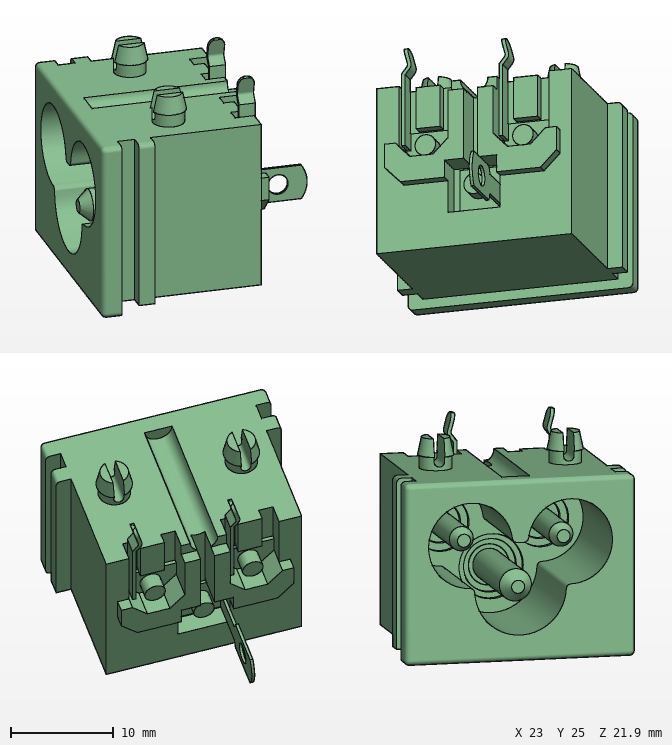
import cadquery as cq
import math


flange_width = 23.0
flange_thickness = 2.0
housing_top = 17.95
edge_radius = 0.5
body_width = 19.95
body_bottom = 1.0
body_rear = 16.6
rib_front = 3.72
rib_rear = 5.35

pin_spacing = 9.98
line_pin_z = 11.65
earth_pin_z = 7.19
line_pin_xs = (-pin_spacing / 2, pin_spacing / 2)

cavity_depth = 11.98
line_lobe_radius = 4.22
earth_lobe_radius = 4.6
lobe_blend_radius = 0.5
step_depth = 0.5
line_step_radius = 2.77
earth_outer_step_radius = 3.22
earth_inner_step_radius = 2.65

line_pin_radius = 1.2
line_pin_tip_y = 2.75
earth_pin_radius = 1.6
earth_pin_tip_y = 1.0
pin_tip_radius = 0.65
pin_taper_length = 1.1
collar_radius = 2.02
collar_clearance = 0.02
collar_front = cavity_depth + 2 * step_depth
collar_length = 0.75
collar_rear = collar_front + collar_length
tail_radius = 1.05

groove_radius = 1.4

post_spacing = 12.97
post_y = 8.2
post_height = 3.1
post_shank_radius = 1.6
post_shank_height = 1.32
post_barb_radius = 1.77
post_end_radius = 1.4
post_slot_width = 1.05
post_slot_floor = 0.35

rear_wall_rear = 17.75
rear_wall_half_width = 8.8
rear_wall_bottom = 7.73
rear_wall_chamfer = 1.65
rear_wall_outer_top = 11.75
rear_wall_inner_top = 16.62
recess_front = 14.65
recess_half_width = 2.67
recess_flat_half_width = 1.15
recess_floor = rear_wall_outer_top - (recess_half_width - recess_flat_half_width)
cover_half_width = 1.22
cover_rear = 15.72
cover_bottom = 13.72
earth_slot_width = 1.42
earth_recess_bottom = 4.5
earth_recess_top = 9.48

terminal_thickness = 0.37
terminal_outer_offset = 2.37
terminal_plate_top = 13.47
blade_front = 15.15
blade_width = 1.65
blade_bottom = 11.98
blade_top = 21.88
blade_bend_x = 1.52
blade_end_x = 2.05
blade_lower_bend_z = housing_top + 1.12
blade_upper_bend_z = housing_top + 1.95
bend_inner_radius = 0.37

lug_thickness = 0.3
lug_outer_x = -2.52
lug_plate_right = 2.0
lug_plate_top = 9.23
lug_z = 6.0
neck_height = 2.0
lug_head_front = 19.3
lug_head_height = 3.55
lug_shoulder_length = 0.37
lug_flat_rear = 24.35
lug_tip_y = 24.95
lug_hole_y = 21.98
lug_hole_radius = 1.02


def block(x_min, x_max, y_min, y_max, z_min, z_max):
    """Box given by its limits along the three axes."""
    box = cq.Workplane("XY").box(x_max - x_min, y_max - y_min, z_max - z_min, centered=False)
    return box.translate((x_min, y_min, z_min))


def rod(x, z, radius, y_min, y_max):
    """Cylinder along Y."""
    disc = cq.Workplane("XZ", origin=(x, y_min, z)).circle(radius)
    return disc.extrude(y_min - y_max)


def prism(outline, y_min, y_max):
    """Polygon of (x, z) points extruded along Y."""
    face = cq.Workplane("XZ", origin=(0, y_min, 0)).polyline(outline).close()
    return face.extrude(y_min - y_max)


def housing_block():
    half_flange = flange_width / 2
    half_body = body_width / 2
    flange = block(-half_flange, half_flange, 0, flange_thickness, 0, housing_top)
    flange = flange.edges("|Y").fillet(edge_radius)
    flange = flange.faces("<Y").edges().fillet(edge_radius)
    rib = block(-half_flange, half_flange, rib_front, rib_rear, body_bottom, housing_top)
    rib = rib.edges("|Y and >Z").fillet(edge_radius)
    body = block(-half_body, half_body, edge_radius, body_rear, body_bottom, housing_top)
    return flange.union(rib).union(body)


def rear_wall(side):
    """Raised wall behind one line pin, higher toward the middle of the housing."""
    inner = earth_slot_width / 2
    step = pin_spacing / 2
    outline = [
        (inner, rear_wall_bottom),
        (rear_wall_half_width - rear_wall_chamfer, rear_wall_bottom),
        (rear_wall_half_width, rear_wall_bottom + rear_wall_chamfer),
        (rear_wall_half_width, rear_wall_outer_top),
        (step, rear_wall_outer_top),
        (step, rear_wall_inner_top),
        (inner, rear_wall_inner_top),
    ]
    return prism([(side * x, z) for x, z in outline], body_rear, rear_wall_rear)


def snap_post(x):
    """Barbed post on the top face, split by a slot with a round floor."""
    profile = [
        (0, 0),
        (post_shank_radius, 0),
        (post_shank_radius, post_shank_height),
        (post_barb_radius, post_shank_height),
        (post_end_radius, post_height),
        (0, post_height),
    ]
    post = cq.Workplane("XZ").polyline(profile).close().revolve(360, (0, 0, 0), (0, 1, 0))
    half_slot = post_slot_width / 2
    round_z = post_slot_floor + half_slot
    slot = block(-half_slot, half_slot, -post_barb_radius, post_barb_radius, round_z, post_height)
    slot = slot.union(rod(0, round_z, half_slot, -post_barb_radius, post_barb_radius))
    return post.cut(slot).translate((x, post_y, housing_top))


def plug_cavity():
    """Three overlapping round lobes with blended junctions and stepped pin seats."""
    cavity = rod(0, earth_pin_z, earth_lobe_radius, 0, cavity_depth)
    for x in line_pin_xs:
        cavity = cavity.union(rod(x, line_pin_z, line_lobe_radius, 0, cavity_depth))
    cavity = cavity.edges("|Y").fillet(lobe_blend_radius)
    first_step = cavity_depth + step_depth
    for x in line_pin_xs:
        cavity = cavity.union(rod(x, line_pin_z, line_step_radius, cavity_depth, first_step))
    cavity = cavity.union(rod(0, earth_pin_z, earth_outer_step_radius, cavity_depth, first_step))
    return cavity.union(rod(0, earth_pin_z, earth_inner_step_radius, first_step, collar_front))


def pin_bore(x, z):
    """Bore that takes the collar and tail of one pin."""
    bore = rod(x, z, collar_radius + collar_clearance, cavity_depth, collar_rear)
    return bore.union(rod(x, z, tail_radius, collar_rear, rear_wall_rear))


def recess_prism(x, y_min, y_max):
    """Recess behind a line pin: flat floor with 45 degree sides, open at the top."""
    outline = [
        (-recess_half_width, housing_top),
        (-recess_half_width, rear_wall_outer_top),
        (-recess_flat_half_width, recess_floor),
        (recess_flat_half_width, recess_floor),
        (recess_half_width, rear_wall_outer_top),
        (recess_half_width, housing_top),
    ]
    return prism([(x + offset, z) for offset, z in outline], y_min, y_max)


def line_recess(x):
    """Terminal recess with a cover of housing material left over the pin."""
    cover = block(
        x - cover_half_width, x + cover_half_width, recess_front, cover_rear, cover_bottom, housing_top
    )
    return recess_prism(x, recess_front, rear_wall_rear).cut(cover)


def earth_recess():
    """Recess for the earth lug with a narrow slot up to the top face."""
    half_slot = earth_slot_width / 2
    recess = block(
        -recess_half_width, recess_half_width,
        recess_front, rear_wall_rear,
        earth_recess_bottom, earth_recess_top,
    )
    slot = block(-half_slot, half_slot, recess_front, rear_wall_rear, earth_pin_z, housing_top)
    return recess.union(slot)


def make_housing():
    housing = housing_block()
    for side in (-1, 1):
        housing = housing.union(rear_wall(side))
        housing = housing.union(snap_post(side * post_spacing / 2))
    housing = housing.cut(rod(0, housing_top, groove_radius, flange_thickness, body_rear))
    housing = housing.cut(plug_cavity())
    for x in line_pin_xs:
        housing = housing.cut(pin_bore(x, line_pin_z)).cut(line_recess(x))
    return housing.cut(pin_bore(0, earth_pin_z)).cut(earth_recess())


def make_pin(x, z, radius, tip_y):
    """Turned contact pin with a tapered tip, a collar and a thinner tail."""
    profile = [
        (0, tip_y),
        (pin_tip_radius, tip_y),
        (radius, tip_y + pin_taper_length),
        (radius, collar_front),
        (collar_radius, collar_front),
        (collar_radius, collar_rear),
        (tail_radius, collar_rear),
        (tail_radius, body_rear),
        (0, body_rear),
    ]
    pin = cq.Workplane("XY").polyline(profile).close().revolve(360, (0, 0, 0), (0, 1, 0))
    return pin.translate((x, 0, z))


def terminal_plate():
    """Plate that fills the recess outline around the pin tail."""
    plate_rear = recess_front + terminal_thickness
    plate = recess_prism(0, recess_front, plate_rear)
    limits = block(
        -recess_half_width, terminal_outer_offset,
        recess_front, plate_rear,
        recess_floor, terminal_plate_top,
    )
    return plate.intersect(limits).cut(rod(0, line_pin_z, tail_radius, recess_front, plate_rear))


def terminal_blade():
    """Bent upright blade with a round end."""
    half = terminal_thickness / 2
    foot_x = terminal_outer_offset - half
    lower = math.atan2(foot_x - blade_bend_x, blade_upper_bend_z - blade_lower_bend_z)
    upper = math.atan2(blade_end_x - blade_bend_x, blade_top - blade_upper_bend_z)
    lower_shift = half * math.tan(lower / 2)
    upper_spread = half / math.cos((lower + upper) / 2)
    spread_angle = (upper - lower) / 2
    bend_dx = upper_spread * math.cos(spread_angle)
    bend_dz = upper_spread * math.sin(spread_angle)
    end_dx = half * math.cos(upper)
    end_dz = half * math.sin(upper)
    end_z = blade_top - end_dz
    outline = [
        (foot_x + half, blade_bottom),
        (foot_x + half, blade_lower_bend_z + lower_shift),
        (blade_bend_x + bend_dx, blade_upper_bend_z - bend_dz),
        (blade_end_x + end_dx, end_z - end_dz),
        (blade_end_x - end_dx, end_z + end_dz),
        (blade_bend_x - bend_dx, blade_upper_bend_z + bend_dz),
        (foot_x - half, blade_lower_bend_z - lower_shift),
        (foot_x - half, blade_bottom),
    ]
    blade_rear = blade_front + blade_width
    blade = prism(outline, blade_front, blade_rear)
    inner_bend = bend_edge(blade_bend_x + bend_dx, blade_upper_bend_z - bend_dz)
    outer_bend = bend_edge(blade_bend_x - bend_dx, blade_upper_bend_z + bend_dz)
    blade = blade.edges(inner_bend).fillet(bend_inner_radius)
    blade = blade.edges(outer_bend).fillet(bend_inner_radius + terminal_thickness)
    end_radius = blade_width / 2
    side_shape = (
        cq.Workplane("YZ")
        .moveTo(blade_front, blade_bottom)
        .lineTo(blade_rear, blade_bottom)
        .lineTo(blade_rear, blade_top - end_radius)
        .threePointArc((blade_front + end_radius, blade_top), (blade_front, blade_top - end_radius))
        .close()
        .extrude(terminal_outer_offset + terminal_thickness)
    )
    return blade.intersect(side_shape)


def bend_edge(x, z):
    """Selector for the edge along Y nearest to a point (x, z)."""
    return cq.selectors.NearestToPointSelector((x, blade_front + blade_width / 2, z))


def make_line_terminal(x):
    """Plate around the pin tail, folded back into a leg that carries the upright blade."""
    leg = block(
        terminal_outer_offset - terminal_thickness, terminal_outer_offset,
        recess_front, blade_front + blade_width,
        rear_wall_outer_top, terminal_plate_top,
    )
    return terminal_plate().union(leg).union(terminal_blade()).translate((x, 0, 0))


def make_earth_lug():
    """Plate around the earth pin tail, folded back into a flat solder lug with a hole."""
    half_neck = neck_height / 2
    half_head = lug_head_height / 2
    shoulder_y = lug_head_front + lug_shoulder_length
    plate_rear = recess_front + lug_thickness
    plate = block(
        lug_outer_x, lug_plate_right,
        recess_front, plate_rear,
        lug_z - half_neck, lug_plate_top,
    )
    plate = plate.cut(rod(0, earth_pin_z, tail_radius, recess_front, plate_rear))
    tongue = (
        cq.Workplane("YZ", origin=(lug_outer_x, 0, lug_z))
        .moveTo(recess_front, -half_neck)
        .lineTo(lug_head_front, -half_neck)
        .lineTo(shoulder_y, -half_head)
        .lineTo(lug_flat_rear, -half_head)
        .threePointArc((lug_tip_y, 0), (lug_flat_rear, half_head))
        .lineTo(shoulder_y, half_head)
        .lineTo(lug_head_front, half_neck)
        .lineTo(recess_front, half_neck)
        .close()
        .moveTo(lug_hole_y, 0)
        .circle(lug_hole_radius)
        .extrude(lug_thickness)
    )
    return plate.union(tongue)


housing = make_housing()
line_pins = [make_pin(x, line_pin_z, line_pin_radius, line_pin_tip_y) for x in line_pin_xs]
earth_pin = make_pin(0, earth_pin_z, earth_pin_radius, earth_pin_tip_y)
line_terminals = [make_line_terminal(x) for x in line_pin_xs]
earth_lug = make_earth_lug()

result = cq.Compound.makeCompound(
    [
        housing.val(),
        *[pin.val() for pin in line_pins],
        earth_pin.val(),
        *[terminal.val() for terminal in line_terminals],
        earth_lug.val(),
    ]
)